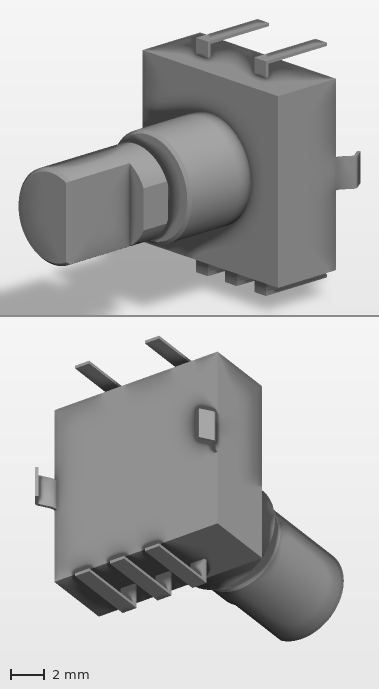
import cadquery as cq
import math


OVERALL_LENGTH = 19.7
BOX_DEPTH = 4.7
BUSHING_LENGTH = 5.0
NECK_LENGTH = 1.0
HEAD_LENGTH = 7.0
SHAFT_TIP_Y = -(BUSHING_LENGTH + NECK_LENGTH + HEAD_LENGTH)
REAR_Y = SHAFT_TIP_Y + OVERALL_LENGTH

BOX_WIDTH = 11.7
BOX_HEIGHT = 12.0

BUSHING_DIAMETER = 7.0
NECK_DIAMETER = 3.5
HEAD_DIAMETER = 6.0
END_CHAMFER = 0.2
SHOULDER_CHAMFER = 0.1
SIDE_FLAT_X = 2.7
D_FLAT_X = 1.5
D_FLAT_LENGTH = 5.0

TERMINAL_WIDTH = 1.0
TERMINAL_LENGTH = 5.0
TERMINAL_PITCH = 2.5
TOP_REACH = 1.08
BOTTOM_REACH = 1.62
SHEET_THICKNESS = 0.2

CLIP_WIDTH = 2.0
CLIP_SPAN = 12.82
CLIP_REACH = (CLIP_SPAN - BOX_WIDTH) / 2
ROOT_BEND_RADIUS = 0.87
CREST_BEND_RADIUS = 0.1
CLIP_ANGLE = math.radians(34)


def make_box():
    return cq.Workplane("XY").box(BOX_WIDTH, BOX_DEPTH, BOX_HEIGHT).translate((0, BOX_DEPTH / 2, 0))


def make_terminal(x, side, reach):
    """L-shaped terminal: side is 1 above the box and -1 below it."""
    front_y = REAR_Y - TERMINAL_LENGTH
    root_z = side * BOX_HEIGHT / 2
    outer_z = root_z + side * reach
    inner_z = outer_z - side * SHEET_THICKNESS
    outline = [
        (front_y, root_z),
        (front_y, outer_z),
        (REAR_Y, outer_z),
        (REAR_Y, inner_z),
        (front_y + SHEET_THICKNESS, inner_z),
        (front_y + SHEET_THICKNESS, root_z),
    ]
    strip = cq.Workplane("YZ").polyline(outline).close().extrude(TERMINAL_WIDTH / 2, both=True)
    return strip.translate((x, 0, 0))


def make_right_clip():
    """Bent strip that flares out from the back of the box and returns inward at its end."""
    half_sheet = SHEET_THICKNESS / 2
    root_x = BOX_WIDTH / 2 - half_sheet
    bend_sine = math.sin(CLIP_ANGLE)
    bend_rise = 1 - math.cos(CLIP_ANGLE)
    flare_rise = CLIP_REACH - (ROOT_BEND_RADIUS + CREST_BEND_RADIUS) * bend_rise
    flare_length = flare_rise / math.tan(CLIP_ANGLE)
    root_length = ROOT_BEND_RADIUS * bend_sine
    crest_length = 2 * CREST_BEND_RADIUS * bend_sine
    end_y = REAR_Y - half_sheet * bend_sine
    return_length = end_y - BOX_DEPTH - root_length - flare_length - crest_length
    centerline = (
        cq.Workplane("XY")
        .moveTo(root_x, BOX_DEPTH)
        .threePointArc(
            (
                root_x + ROOT_BEND_RADIUS * (1 - math.cos(CLIP_ANGLE / 2)),
                BOX_DEPTH + ROOT_BEND_RADIUS * math.sin(CLIP_ANGLE / 2),
            ),
            (root_x + ROOT_BEND_RADIUS * bend_rise, BOX_DEPTH + root_length),
        )
        .line(flare_rise, flare_length)
        .tangentArcPoint((0, crest_length))
        .line(-return_length * math.tan(CLIP_ANGLE), return_length)
    )
    section = cq.Workplane("XZ", origin=(root_x, BOX_DEPTH, 0)).rect(SHEET_THICKNESS, CLIP_WIDTH)
    return section.sweep(centerline)


def make_housing():
    """Box with its five terminals and two mounting clips."""
    housing = make_box()
    for x in (-TERMINAL_PITCH, TERMINAL_PITCH):
        housing = housing.union(make_terminal(x, 1, TOP_REACH))
    for x in (-TERMINAL_PITCH, 0, TERMINAL_PITCH):
        housing = housing.union(make_terminal(x, -1, BOTTOM_REACH))
    clip = make_right_clip()
    return housing.union(clip).union(clip.mirror("YZ"))


def make_bushing():
    bushing = cq.Workplane("XZ").circle(BUSHING_DIAMETER / 2).extrude(BUSHING_LENGTH)
    return bushing.faces("<Y").chamfer(END_CHAMFER)


def flat_cutter(flat_x, length):
    """Block that removes the head beyond flat_x over the given length from the tip."""
    block = cq.Workplane("XY").box(HEAD_DIAMETER, length, HEAD_DIAMETER, centered=(False, False, True))
    return block.translate((flat_x, SHAFT_TIP_Y, 0))


def make_shaft():
    """Neck and flatted head, starting at the end face of the bushing."""
    neck = cq.Workplane("XZ", origin=(0, -BUSHING_LENGTH, 0)).circle(NECK_DIAMETER / 2).extrude(NECK_LENGTH)
    shoulder_y = -BUSHING_LENGTH - NECK_LENGTH
    head = cq.Workplane("XZ", origin=(0, shoulder_y, 0)).circle(HEAD_DIAMETER / 2).extrude(HEAD_LENGTH)
    head = head.faces(">Y").chamfer(SHOULDER_CHAMFER)
    head = head.cut(flat_cutter(SIDE_FLAT_X, HEAD_LENGTH)).cut(flat_cutter(D_FLAT_X, D_FLAT_LENGTH))
    head = head.faces("<Y").chamfer(END_CHAMFER)
    return neck.union(head)


housing = make_housing()
bushing = make_bushing()
shaft = make_shaft()

result = cq.Compound.makeCompound([housing.val(), bushing.val(), shaft.val()])